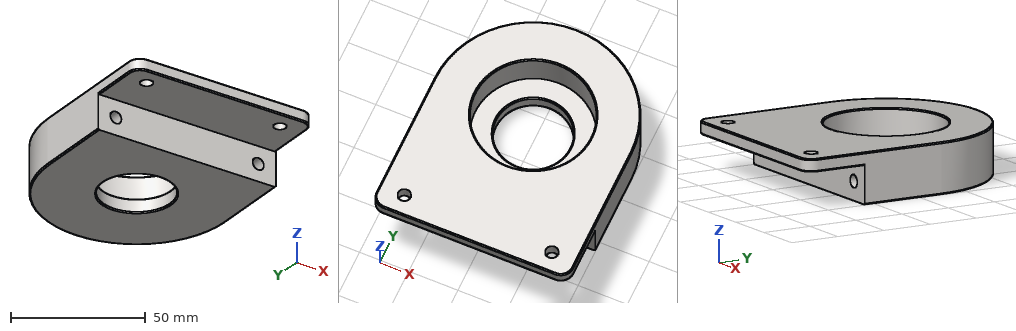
import cadquery as cq
import math

width = 80.0
length = 98.5
height = 20.0
round_radius = width / 2
plate_front = round_radius - length

housing_front = -33.3
plate_thickness = 5.0
plate_corner_radius = 5.0
edge_chamfer = 0.5

bearing_diameter = 47.0
bearing_depth = 14.0
through_diameter = 30.0

screw_diameter = 5.0
plate_hole_spacing = 60.0
plate_hole_edge_distance = 8.0
front_hole_spacing = 64.0
front_hole_height = 7.5
front_hole_depth = 15.0
drill_point_angle = 118


def rounded_slab(front, bottom, thickness):
    """D-shaped slab with its round end on +Y and a straight edge at front."""
    return (
        cq.Workplane("XY", origin=(0, 0, bottom))
        .moveTo(-round_radius, front)
        .lineTo(round_radius, front)
        .lineTo(round_radius, 0)
        .threePointArc((0, round_radius), (-round_radius, 0))
        .close()
        .extrude(thickness)
    )


def bore_cutter(diameter, bottom, top):
    """Cutter for a plain vertical bore."""
    return cq.Workplane("XY", origin=(0, 0, bottom)).circle(diameter / 2).extrude(top - bottom)


def rim_cutter(diameter, rim_height, direction):
    """Cone that chamfers a bore rim opening upward (direction 1) or downward (direction -1)."""
    radius = diameter / 2
    base = (0, 0, rim_height - direction * edge_chamfer)
    cone = cq.Solid.makeCone(radius, radius + edge_chamfer, edge_chamfer, pnt=base, dir=(0, 0, direction))
    return cq.Workplane(cone)


def front_screw_hole(x):
    """Cutter for a blind hole with a conical drill point, drilled along +Y."""
    radius = screw_diameter / 2
    tip_length = radius / math.tan(math.radians(drill_point_angle / 2))
    return (
        cq.Workplane("XY", origin=(x, housing_front, front_hole_height))
        .lineTo(radius, 0)
        .lineTo(radius, front_hole_depth)
        .lineTo(0, front_hole_depth + tip_length)
        .close()
        .revolve(360, (0, 0), (0, 1))
    )


plate_bottom = height - plate_thickness
housing = rounded_slab(housing_front, 0, height)
housing = housing.faces("<Z").edges("not <Y").chamfer(edge_chamfer)
housing = housing.faces(">Z").edges("not <Y").chamfer(edge_chamfer)
plate = rounded_slab(plate_front, plate_bottom, plate_thickness)
plate = plate.edges("|Z and <Y").fillet(plate_corner_radius)
plate = plate.faces("<Z or >Z").chamfer(edge_chamfer)
body = housing.union(plate)

bearing_floor = height - bearing_depth
body = body.cut(bore_cutter(bearing_diameter, bearing_floor, height))
body = body.cut(bore_cutter(through_diameter, 0, bearing_floor))
body = body.cut(rim_cutter(bearing_diameter, height, 1))
body = body.cut(rim_cutter(through_diameter, bearing_floor, 1))
body = body.cut(rim_cutter(through_diameter, 0, -1))

body = body.cut(
    cq.Workplane("XY", origin=(0, plate_front + plate_hole_edge_distance, plate_bottom))
    .rarray(plate_hole_spacing, 1, 2, 1)
    .circle(screw_diameter / 2)
    .extrude(plate_thickness)
)

for side in (-1, 1):
    body = body.cut(front_screw_hole(side * front_hole_spacing / 2))

result = body